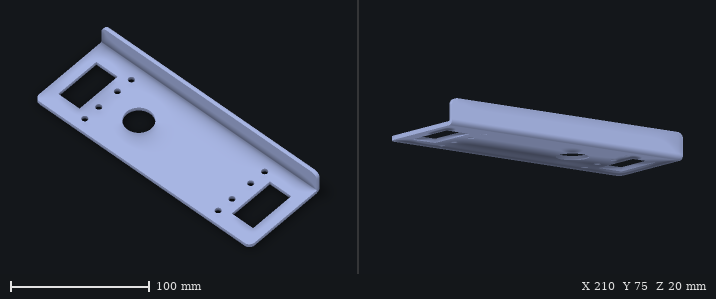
import cadquery as cq

length = 210.0
depth = 75.0
height = 20.0
thickness = 3.175

bend_inner_radius = 0.7366
bend_outer_radius = bend_inner_radius + thickness
corner_radius = 5.0

cutout_center_y = 35.0
window_width = 20.8
window_depth = 41.0
window_margin = 10.0
window_offset_x = length / 2 - window_margin - window_width / 2

cable_hole_diameter = 24.0
cable_hole_x = 70.0

screw_hole_diameter = 5.3
screw_column_margin = 40.0
screw_offset_x = length / 2 - screw_column_margin
screw_offsets_y = (10.0, 25.0)


def bent_sheet():
    """L-shaped sheet: flat base with a flange folded up along its rear edge."""
    profile = (
        cq.Workplane("YZ")
        .moveTo(0, 0)
        .lineTo(depth - bend_outer_radius, 0)
        .radiusArc((depth, bend_outer_radius), -bend_outer_radius)
        .lineTo(depth, height)
        .lineTo(depth - thickness, height)
        .lineTo(depth - thickness, bend_outer_radius)
        .radiusArc((depth - bend_outer_radius, thickness), bend_inner_radius)
        .lineTo(0, thickness)
        .close()
    )
    return profile.extrude(length)


def round_corners(sheet):
    """Round the two front corners of the base and the two top corners of the flange."""
    base_rounded = sheet.edges("|Z and <Y").fillet(corner_radius)
    return base_rounded.edges("|Y and >Z").fillet(corner_radius)


def base_cutouts():
    """Two windows, the cable hole and two columns of screw holes, all through the base."""
    plane = cq.Workplane("XY").center(length / 2, cutout_center_y)

    window_centers = [(side * window_offset_x, 0) for side in (-1, 1)]
    windows = plane.pushPoints(window_centers).rect(window_width, window_depth).extrude(thickness)

    cable_hole = (
        plane.center(cable_hole_x - length / 2, 0)
        .circle(cable_hole_diameter / 2)
        .extrude(thickness)
    )

    screw_centers = [
        (side * screw_offset_x, end * offset_y)
        for side in (-1, 1)
        for end in (-1, 1)
        for offset_y in screw_offsets_y
    ]
    screw_holes = plane.pushPoints(screw_centers).circle(screw_hole_diameter / 2).extrude(thickness)

    return windows.union(cable_hole).union(screw_holes)


result = round_corners(bent_sheet()).cut(base_cutouts())